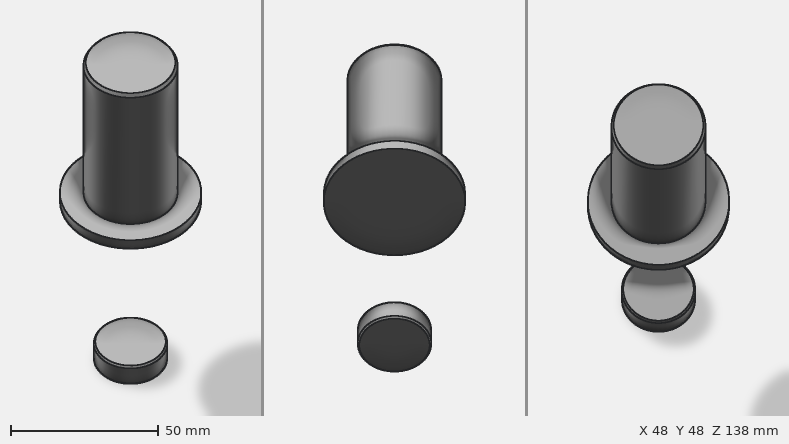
import cadquery as cq

total_height = 138.0

flange_diameter = 48.0
flange_thickness = 4.0
shank_diameter = 32.0
shank_length = 60.0
shank_chamfer_width = 0.8
shank_chamfer_height = 1.4

disc_diameter = 25.0
disc_thickness = 8.5
disc_chamfer_width = 0.5
disc_chamfer_height = 0.8

shank_top = total_height
shank_bottom = shank_top - shank_length
flange_bottom = shank_bottom - flange_thickness


def revolve_profile(points):
    """Turn a half section of (radius, height) points around the Z axis."""
    return cq.Workplane("XZ").polyline(points).close().revolve(360, (0, 0), (0, 1))


def make_flanged_pin():
    """Shank with a steep chamfer on its top edge, in one piece with its flange."""
    flange_radius = flange_diameter / 2
    shank_radius = shank_diameter / 2
    return revolve_profile([
        (0, flange_bottom),
        (flange_radius, flange_bottom),
        (flange_radius, shank_bottom),
        (shank_radius, shank_bottom),
        (shank_radius, shank_top - shank_chamfer_height),
        (shank_radius - shank_chamfer_width, shank_top),
        (0, shank_top),
    ])


def make_disc():
    """Plain disc with a steep chamfer on both rims."""
    rim_radius = disc_diameter / 2
    face_radius = rim_radius - disc_chamfer_width
    return revolve_profile([
        (0, 0),
        (face_radius, 0),
        (rim_radius, disc_chamfer_height),
        (rim_radius, disc_thickness - disc_chamfer_height),
        (face_radius, disc_thickness),
        (0, disc_thickness),
    ])


flanged_pin = make_flanged_pin()
disc = make_disc()

result = cq.Compound.makeCompound([flanged_pin.val(), disc.val()])